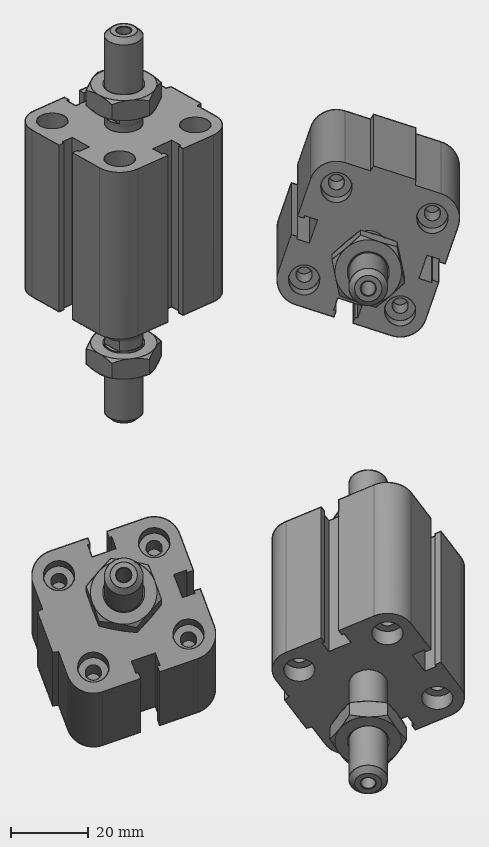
import cadquery as cq
import math

TOTAL_LENGTH = 114.5
UPPER_REACH = 27.5
HOUSING_HEIGHT = 49.5
HOUSING_TOP = TOTAL_LENGTH - UPPER_REACH
HOUSING_BOTTOM = HOUSING_TOP - HOUSING_HEIGHT

HOUSING_WIDTH = 40.0
HALF_WIDTH = HOUSING_WIDTH / 2
CORNER_RADIUS = 7.0
RIB_HEIGHT = 1.5
RIB_TOP_WIDTH = 11.5
RIB_BASE_WIDTH = 12.1

SLOT_MOUTH_WIDTH = 5.2
SLOT_LIP_DEPTH = 1.7
SLOT_INNER_WIDTH = 6.5
SLOT_DEPTH = 5.2
SLOT_ANGLES = (0, 180, 270)

HOLE_SPACING = 26.0
COUNTERBORE_DIAMETER = 8.0
COUNTERBORE_DEPTH = 5.0
BOLT_HOLE_DIAMETER = 4.1
BOLT_HOLE_DEPTH = 13.0

ROD_DIAMETER = 10.0
ROD_BORE_DIAMETER = 3.8
BORE_MOUTH_DIAMETER = 4.1
TIP_CHAMFER = 1.5
NECK_DIAMETER = 9.8
NECK_START = 22.2
NECK_END = 25.5
NECK_TAPER = 0.3
FLATS_END = 25.0
ACROSS_ROD_FLATS = 8.0

NUT_ACROSS_FLATS = 17.1
NUT_THICKNESS = 6.0
NUT_OFFSET = 15.9
NUT_MOUTH_DIAMETER = 10.8
NUT_CHAMFER_ANGLE = 30.0


def mirrored_end(solid):
    """Copy a feature of the upper end to the matching place on the lower end of the rod."""
    return solid.mirror("XY", (0, 0, TOTAL_LENGTH / 2))


def t_slot_cutter():
    """T-slot opening on the +X side, running the full height of the housing."""
    mouth = cq.Workplane("XY").box(
        SLOT_LIP_DEPTH, SLOT_MOUTH_WIDTH, HOUSING_HEIGHT, centered=(False, True, False)
    ).translate((HALF_WIDTH - SLOT_LIP_DEPTH, 0, HOUSING_BOTTOM))
    channel = cq.Workplane("XY").box(
        SLOT_DEPTH - SLOT_LIP_DEPTH, SLOT_INNER_WIDTH, HOUSING_HEIGHT, centered=(False, True, False)
    ).translate((HALF_WIDTH - SLOT_DEPTH, 0, HOUSING_BOTTOM))
    return mouth.union(channel)


def make_rib():
    """Full-height rib with slightly sloping sides on the +Y face."""
    return (
        cq.Workplane("XY", origin=(0, HALF_WIDTH, HOUSING_BOTTOM))
        .polyline([
            (-RIB_BASE_WIDTH / 2, 0),
            (RIB_BASE_WIDTH / 2, 0),
            (RIB_TOP_WIDTH / 2, RIB_HEIGHT),
            (-RIB_TOP_WIDTH / 2, RIB_HEIGHT),
        ])
        .close()
        .extrude(HOUSING_HEIGHT)
    )


def make_housing():
    housing = (
        cq.Workplane("XY", origin=(0, 0, HOUSING_BOTTOM))
        .rect(HOUSING_WIDTH, HOUSING_WIDTH)
        .extrude(HOUSING_HEIGHT)
        .edges("|Z")
        .fillet(CORNER_RADIUS)
        .union(make_rib())
    )
    for angle in SLOT_ANGLES:
        housing = housing.cut(t_slot_cutter().rotate((0, 0, 0), (0, 0, 1), angle))
    for face in (">Z", "<Z"):
        housing = (
            housing.faces(face)
            .workplane(origin=(0, 0, 0))
            .rect(HOLE_SPACING, HOLE_SPACING, forConstruction=True)
            .vertices()
            .cboreHole(BOLT_HOLE_DIAMETER, COUNTERBORE_DIAMETER, COUNTERBORE_DEPTH, BOLT_HOLE_DEPTH)
        )
    return housing.faces(">Z").workplane(origin=(0, 0, 0)).hole(ROD_DIAMETER)


def neck_cutter():
    """Tapered relief groove with two wrench flats, behind the nut at the upper end of the rod."""
    groove = (
        cq.Workplane("XZ")
        .polyline([
            (ROD_DIAMETER / 2, TOTAL_LENGTH - NECK_END),
            (NECK_DIAMETER / 2, TOTAL_LENGTH - NECK_END + NECK_TAPER),
            (NECK_DIAMETER / 2, TOTAL_LENGTH - NECK_START),
            (ROD_DIAMETER / 2, TOTAL_LENGTH - NECK_START),
        ])
        .close()
        .revolve(360, (0, 0), (0, 1))
    )
    flats_start = NUT_OFFSET + NUT_THICKNESS
    flats = (
        cq.Workplane("XY", origin=(0, 0, TOTAL_LENGTH - FLATS_END))
        .rect(ROD_DIAMETER, ROD_DIAMETER)
        .rect(ROD_DIAMETER, ACROSS_ROD_FLATS)
        .extrude(FLATS_END - flats_start)
    )
    return groove.union(flats)


def make_rod():
    rod = (
        cq.Workplane("XY")
        .circle(ROD_DIAMETER / 2)
        .extrude(TOTAL_LENGTH)
        .faces("<Z or >Z")
        .chamfer(TIP_CHAMFER)
        .faces(">Z")
        .workplane()
        .hole(ROD_BORE_DIAMETER)
        .edges(cq.selectors.RadiusNthSelector(0))
        .chamfer((BORE_MOUTH_DIAMETER - ROD_BORE_DIAMETER) / 2)
    )
    return rod.cut(neck_cutter()).cut(mirrored_end(neck_cutter()))


def make_nut():
    """Chamfered hexagon nut on the upper end of the rod."""
    flat_radius = NUT_ACROSS_FLATS / 2
    corner_radius = flat_radius / math.cos(math.pi / 6)
    corner_drop = (corner_radius - flat_radius) * math.tan(math.radians(NUT_CHAMFER_ANGLE))
    blank = cq.Workplane("XY").polygon(6, 2 * corner_radius).extrude(NUT_THICKNESS)
    envelope = (
        cq.Workplane("XY")
        .circle(corner_radius)
        .extrude(NUT_THICKNESS)
        .faces("<Z or >Z")
        .chamfer(corner_drop, corner_radius - flat_radius)
    )
    mouth_depth = (NUT_MOUTH_DIAMETER - ROD_DIAMETER) / 2
    nut = blank.intersect(envelope).faces(">Z").workplane().hole(ROD_DIAMETER)
    nut = nut.edges(cq.selectors.RadiusNthSelector(0)).chamfer(mouth_depth)
    return nut.translate((0, 0, TOTAL_LENGTH - NUT_OFFSET - NUT_THICKNESS))


housing = make_housing()
rod = make_rod()
nuts = [make_nut(), mirrored_end(make_nut())]

result = cq.Compound.makeCompound([
    housing.val(),
    rod.val(),
    *[nut.val() for nut in nuts],
])